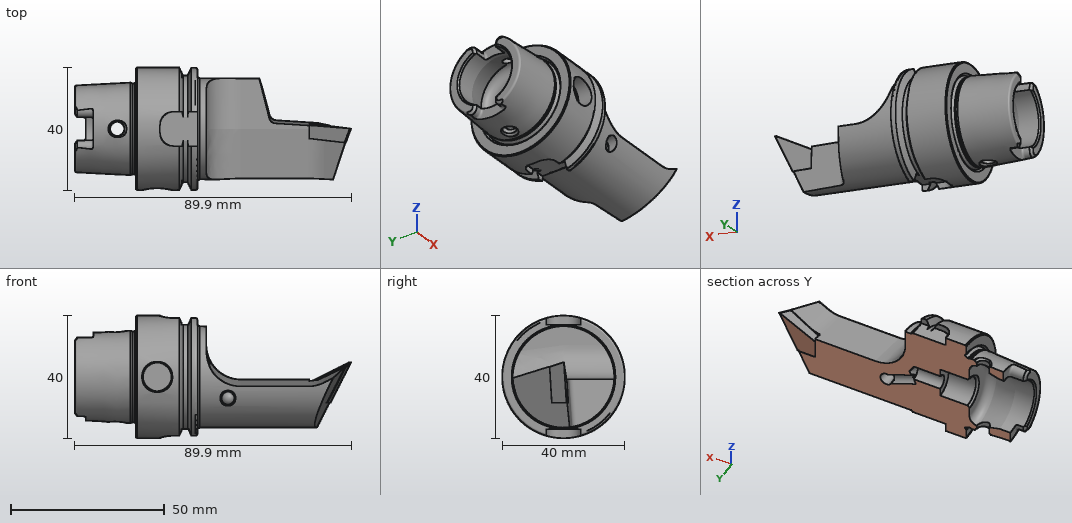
import cadquery as cq
import math


SHANK_FACE_R = 13.5
SHANK_NOSE_R = 14.2
SHANK_NOSE_LENGTH = 0.7
SHANK_LARGE_R = 15.1
SHANK_TAPER_END = 18.0
SHANK_TAPER = (SHANK_LARGE_R - SHANK_NOSE_R) / (SHANK_TAPER_END - SHANK_NOSE_LENGTH)
SHANK_NECK_R = 29.7 / 2
SHANK_NECK_START = 18.7
SHANK_NECK_END = 19.2
UNDERCUT_R = 16.2
UNDERCUT_DEPTH = 0.6

FLANGE_R = 40.0 / 2
FLANGE_START = 19.9
FLANGE_END = 39.9
FLANGE_CHAMFER = 0.4
FLANGE_ROUND = 0.8
GROOVE_R = 17.4
GROOVE_START = 33.9
GROOVE_WALL_END = 34.7
GROOVE_WALL_END_R = 18.4
GROOVE_ROUND = 1.4
GROOVE_FLOOR_START = 35.2
GROOVE_FLOOR_END = 36.7
GROOVE_END = 37.9

ARM_R = 33.0 / 2
ARM_SHOULDER = 0.45
ARM_SHOULDER_LENGTH = 0.7
ARM_ROOT = FLANGE_END + ARM_SHOULDER_LENGTH

BORE_R = 21.0 / 2
BORE_CHAMFER = 0.5
BORE_LENGTH = 7.55
CLAMP_R = 25.5 / 2
CLAMP_START = 15.7
CLAMP_FLOOR_R = 9.8
CLAMP_FLOOR = CLAMP_START + CLAMP_R - CLAMP_FLOOR_R
COOLANT_MOUTH_R = 12.5 / 2
COOLANT_THREAD_R = 11.0 / 2
COOLANT_THREAD_END = 29.7
COOLANT_BORE_R = 5.2 / 2
COOLANT_BORE_END = 39.6
DRILL_POINT_ANGLE = 118

CROSS_HOLE_X = 13.75
CROSS_HOLE_D = 4.6
CROSS_HOLE_MOUTH_D = 6.1

SLOT_HALF_WIDTH = 3.8
SLOT_FLARE_R = 2.2
SLOT_FLARE_Z = 10.7
SLOT_DEPTH_TOP = 6.0
SLOT_DEPTH_BOTTOM = 3.5
SLOT_FLOOR_ROUND = 0.7
SLOT_LEAD_DEPTH = 0.8
SLOT_LEAD_WIDTH = 1.1

KEYWAY_START = 27.7
KEYWAY_WIDTH = 11.15
KEYWAY_CORNER = 4.3
KEYWAY_FLOOR = 17.0

CHIP_HOLE_X = 26.8
CHIP_HOLE_D = 10.0
CHIP_HOLE_DEPTH = 5.6
CHIP_FLOOR_CHAMFER = 0.4

TOP_Z = -0.8
TOP_TILT = 8.0
TOP_WALL_X = 42.8
TOP_CORNER_R = 11.15
RAMP_START = 76.0
RAMP_ARC_R = 11.15
RAMP_ANGLE = 27.2

FLANK_OUTER_X = 60.0
FLANK_CORNER_X = 63.65
FLANK_CORNER_Y = 1.9
FLANK_END_Y = 0.2
FLANK_ROUND = 2.3
SIDE_DRAFT = 1.5
FLANK_DRAFT = 4.0

TIP = (89.9, 0.1, 4.8)
LAND_BLEND = 0.6
LAND_LENGTH = 0.45
END_SKEW = 0.2
END_RAKE = 0.52
ARM_END_SETBACK = 0.4
ARM_END_SKEW = 0.17
INSERT_BACK_X = 76.3
INSERT_BOTTOM = -8.45
INSERT_BACK_Y = -3.15
INSERT_FRONT_Y = -4.5
INSERT_FRONT_X = 87.9
INSERT_FLANK_SLOPE = 0.063
INSERT_FLANK_DRAFT = 0.032

OUTLET_X = 49.8
OUTLET_Z = -6.9
OUTLET_D = 5.0
OUTLET_FLOOR_Y = -12.1
BALL_D = 4.2
CHANNEL_D = 3.3
CHANNEL_START_Z = -2.9

BEYOND = 116.9


def tan(degrees):
    return math.tan(math.radians(degrees))


def remove_beyond(body, point, normal):
    """Cuts off what lies on the normal's side of a plane."""
    plane = cq.Plane(origin=point, normal=normal)
    return body.cut(cq.Workplane(plane).rect(2 * BEYOND, 2 * BEYOND).extrude(BEYOND))


def revolve_on_axis(profile):
    return profile.close().revolve(360, (0, 0, 0), (1, 0, 0))


def outer_body():
    quarter_bow = 1 - math.sqrt(0.5)
    nose_height = SHANK_NOSE_R - SHANK_FACE_R
    nose_mid = (SHANK_NOSE_LENGTH * quarter_bow, SHANK_NOSE_R - nose_height * quarter_bow)
    round_mid = FLANGE_ROUND * quarter_bow
    profile = (
        cq.Workplane("XY")
        .moveTo(0, 0)
        .lineTo(0, SHANK_FACE_R)
        .threePointArc(nose_mid, (SHANK_NOSE_LENGTH, SHANK_NOSE_R))
        .lineTo(SHANK_TAPER_END, SHANK_LARGE_R)
        .lineTo(SHANK_NECK_START, SHANK_NECK_R)
        .lineTo(SHANK_NECK_END, SHANK_NECK_R)
        .lineTo(FLANGE_START + UNDERCUT_DEPTH, (SHANK_NECK_R + UNDERCUT_R) / 2)
        .lineTo(FLANGE_START, UNDERCUT_R)
        .lineTo(FLANGE_START, FLANGE_R - FLANGE_CHAMFER)
        .lineTo(FLANGE_START + FLANGE_CHAMFER, FLANGE_R)
        .lineTo(GROOVE_START, FLANGE_R)
        .lineTo(GROOVE_WALL_END, GROOVE_WALL_END_R)
        .radiusArc((GROOVE_FLOOR_START, GROOVE_R), -GROOVE_ROUND)
        .lineTo(GROOVE_FLOOR_END, GROOVE_R)
        .lineTo(GROOVE_END, FLANGE_R)
        .lineTo(FLANGE_END - FLANGE_ROUND, FLANGE_R)
        .threePointArc((FLANGE_END - round_mid, FLANGE_R - round_mid), (FLANGE_END, FLANGE_R - FLANGE_ROUND))
        .lineTo(FLANGE_END, ARM_R + ARM_SHOULDER)
        .lineTo(ARM_ROOT, ARM_R)
        .lineTo(TIP[0], ARM_R)
        .lineTo(TIP[0], 0)
    )
    return revolve_on_axis(profile)


def shank_hollow():
    mouth_depth = COOLANT_MOUTH_R - COOLANT_THREAD_R
    point_length = COOLANT_BORE_R / tan(DRILL_POINT_ANGLE / 2)
    profile = (
        cq.Workplane("XY")
        .moveTo(0, 0)
        .lineTo(0, BORE_R + BORE_CHAMFER)
        .lineTo(BORE_CHAMFER, BORE_R)
        .lineTo(BORE_LENGTH, BORE_R)
        .lineTo(CLAMP_START, CLAMP_R)
        .radiusArc((CLAMP_FLOOR, CLAMP_FLOOR_R), CLAMP_R - CLAMP_FLOOR_R)
        .lineTo(CLAMP_FLOOR, COOLANT_MOUTH_R)
        .lineTo(CLAMP_FLOOR + mouth_depth, COOLANT_THREAD_R)
        .lineTo(COOLANT_THREAD_END, COOLANT_THREAD_R)
        .lineTo(COOLANT_THREAD_END, COOLANT_BORE_R)
        .lineTo(COOLANT_BORE_END, COOLANT_BORE_R)
        .lineTo(COOLANT_BORE_END + point_length, 0)
    )
    return revolve_on_axis(profile)


def cross_hole():
    hole = cq.Workplane("XY").center(CROSS_HOLE_X, 0).circle(CROSS_HOLE_D / 2).extrude(FLANGE_R, both=True)
    surface_r = SHANK_LARGE_R - SHANK_TAPER * (SHANK_TAPER_END - CROSS_HOLE_X)
    sink = (CROSS_HOLE_MOUTH_D - CROSS_HOLE_D) / 2
    mouth = (
        cq.Workplane("XZ")
        .moveTo(0, surface_r - sink)
        .lineTo(CROSS_HOLE_D / 2, surface_r - sink)
        .lineTo(CROSS_HOLE_MOUTH_D / 2, surface_r)
        .lineTo(CROSS_HOLE_MOUTH_D / 2, SHANK_LARGE_R)
        .lineTo(0, SHANK_LARGE_R)
        .close()
        .revolve(360, (0, 0, 0), (0, 1, 0))
        .translate((CROSS_HOLE_X, 0, 0))
    )
    return hole.union(mouth).union(mouth.mirror("XY"))


def slot_section(x):
    """Slot outline across the axis: straight walls that flare outward near the shank surface."""
    flare_y = SLOT_HALF_WIDTH + SLOT_FLARE_R
    flare_top = SLOT_FLARE_Z + SLOT_FLARE_R
    mid = SLOT_FLARE_R * (1 - math.sqrt(0.5))
    mid_z = SLOT_FLARE_Z + SLOT_FLARE_R * math.sqrt(0.5)
    return (
        cq.Workplane("YZ", origin=(x, 0, 0))
        .moveTo(SLOT_HALF_WIDTH, 0)
        .lineTo(SLOT_HALF_WIDTH, SLOT_FLARE_Z)
        .threePointArc((SLOT_HALF_WIDTH + mid, mid_z), (flare_y, flare_top))
        .lineTo(FLANGE_R, flare_top)
        .lineTo(FLANGE_R, FLANGE_R)
        .lineTo(-FLANGE_R, FLANGE_R)
        .lineTo(-FLANGE_R, flare_top)
        .lineTo(-flare_y, flare_top)
        .threePointArc((-SLOT_HALF_WIDTH - mid, mid_z), (-SLOT_HALF_WIDTH, SLOT_FLARE_Z))
        .lineTo(-SLOT_HALF_WIDTH, 0)
        .close()
    )


def driving_slot(depth):
    slot = slot_section(0).extrude(depth).faces(">X").edges().fillet(SLOT_FLOOR_ROUND)
    lead_angle = math.degrees(math.atan(SLOT_LEAD_WIDTH / SLOT_LEAD_DEPTH))
    lead_in = slot_section(SLOT_LEAD_DEPTH).extrude(-SLOT_LEAD_DEPTH, taper=-lead_angle)
    return slot.union(lead_in)


def keyway():
    """Flat-floored slot, round at the shank end and open toward the arm."""
    length = ARM_ROOT - KEYWAY_START
    return (
        cq.Workplane("XY", origin=(KEYWAY_START + length / 2, 0, KEYWAY_FLOOR))
        .rect(length, KEYWAY_WIDTH)
        .extrude(FLANGE_R)
        .edges("|Z and <X")
        .fillet(KEYWAY_CORNER)
    )


def chip_hole():
    floor_y = -FLANGE_R + CHIP_HOLE_DEPTH
    return (
        cq.Workplane("XZ", origin=(CHIP_HOLE_X, floor_y, 0))
        .circle(CHIP_HOLE_D / 2)
        .extrude(FLANGE_R)
        .faces(">Y")
        .chamfer(CHIP_FLOOR_CHAMFER)
    )


def top_cut_side():
    """Space above the arm: a vertical wall, a round corner, a flat and a ramp up to the tip."""
    wall_z = TOP_Z + TOP_CORNER_R
    ramp_x = RAMP_START + RAMP_ARC_R * math.sin(math.radians(RAMP_ANGLE))
    ramp_z = TOP_Z + RAMP_ARC_R * (1 - math.cos(math.radians(RAMP_ANGLE)))
    return (
        cq.Workplane("XZ")
        .moveTo(TOP_WALL_X, BEYOND)
        .lineTo(TOP_WALL_X, wall_z)
        .radiusArc((TOP_WALL_X + TOP_CORNER_R, TOP_Z), -TOP_CORNER_R)
        .lineTo(RAMP_START, TOP_Z)
        .radiusArc((ramp_x, ramp_z), -RAMP_ARC_R)
        .lineTo(BEYOND, ramp_z + (BEYOND - ramp_x) * tan(RAMP_ANGLE))
        .lineTo(BEYOND, BEYOND)
        .close()
    )


def top_cut():
    """The front half of the cut slopes down away from the axis; the back half is level."""
    side = top_cut_side().wires().val()
    front_run = cq.Vector(0, -BEYOND, -BEYOND * tan(TOP_TILT))
    back_run = cq.Vector(0, BEYOND, 0)
    return [cq.Workplane(cq.Solid.extrudeLinear(side, [], run)) for run in (front_run, back_run)]


def flank_cut():
    """Space behind the arm, between a side wall and the back flank that meet in a round."""
    corner = (FLANK_CORNER_X, FLANK_CORNER_Y, TOP_Z)
    side_slope = (FLANK_CORNER_X - FLANK_OUTER_X) / (ARM_R - FLANK_CORNER_Y)
    back_slope = (FLANK_CORNER_Y - FLANK_END_Y) / (TIP[0] - FLANK_CORNER_X)
    block = cq.Workplane("XY").box(TIP[0] - TOP_WALL_X, 2 * ARM_R, 2 * ARM_R, centered=(False, True, True))
    block = block.translate((TOP_WALL_X, 0, TOP_Z))
    block = remove_beyond(block, corner, (-1, -side_slope, -tan(SIDE_DRAFT)))
    block = remove_beyond(block, corner, (-back_slope, -1, -tan(FLANK_DRAFT)))
    corner_edge = cq.selectors.NearestToPointSelector((FLANK_CORNER_X, FLANK_CORNER_Y, TOP_Z))
    return block.edges(corner_edge).fillet(FLANK_ROUND)


def insert_seat():
    """Space for the insert, open upward, toward the tip and at the back flank."""
    seat_slope = (INSERT_FRONT_Y - INSERT_BACK_Y) / (INSERT_FRONT_X - INSERT_BACK_X)
    end_x = TIP[0] + ARM_R
    end_y = INSERT_BACK_Y + seat_slope * (end_x - INSERT_BACK_X)
    return (
        cq.Workplane("XY", origin=(0, 0, INSERT_BOTTOM))
        .polyline([(INSERT_BACK_X, INSERT_BACK_Y), (end_x, end_y), (end_x, ARM_R), (INSERT_BACK_X, ARM_R)])
        .close()
        .extrude(2 * ARM_R)
    )


def make_insert():
    """The seat's shape, bounded by a flank, a raked end and a narrow land that meet at the tip.

    The land is parallel to the cutting edge and lies between the ramp and the end in slope.
    """
    ramp_normal = cq.Vector(-tan(RAMP_ANGLE), -tan(TOP_TILT), 1)
    end_normal = cq.Vector(1, -END_SKEW, -END_RAKE)
    land_normal = ramp_normal + end_normal * LAND_BLEND
    land_rise = LAND_LENGTH * land_normal.x / land_normal.z
    land_back = cq.Vector(*TIP) + cq.Vector(-LAND_LENGTH, 0, land_rise)
    block = remove_beyond(insert_seat(), TIP, (INSERT_FLANK_SLOPE, 1, INSERT_FLANK_DRAFT))
    block = remove_beyond(block, land_back, ramp_normal)
    block = remove_beyond(block, TIP, land_normal)
    return remove_beyond(block, TIP, end_normal)


def coolant_outlet():
    counterbore = (
        cq.Workplane("XZ", origin=(OUTLET_X, OUTLET_FLOOR_Y, OUTLET_Z)).circle(OUTLET_D / 2).extrude(ARM_R)
    )
    bore = (
        cq.Workplane("XZ", origin=(OUTLET_X, BALL_D / 2, OUTLET_Z))
        .circle(BALL_D / 2)
        .extrude(BALL_D / 2 - OUTLET_FLOOR_Y)
    )
    run = cq.Vector(OUTLET_X - COOLANT_BORE_END, 0, OUTLET_Z - CHANNEL_START_Z)
    start = cq.Vector(COOLANT_BORE_END, 0, CHANNEL_START_Z)
    channel = cq.Workplane(cq.Solid.makeCylinder(CHANNEL_D / 2, run.Length, start, run))
    return counterbore.union(bore).union(channel)


def make_ball():
    center = (OUTLET_X, OUTLET_FLOOR_Y + BALL_D / 2, OUTLET_Z)
    return cq.Workplane("XY").sphere(BALL_D / 2).translate(center)


def make_holder():
    body = outer_body().cut(shank_hollow()).cut(cross_hole())
    body = body.cut(driving_slot(SLOT_DEPTH_TOP))
    body = body.cut(driving_slot(SLOT_DEPTH_BOTTOM).mirror("XY"))
    body = body.cut(keyway()).cut(keyway().mirror("XY")).cut(chip_hole())
    for cutter in top_cut():
        body = body.cut(cutter)
    body = body.cut(flank_cut()).cut(insert_seat())
    arm_end = (TIP[0] - ARM_END_SETBACK, TIP[1], TIP[2])
    body = remove_beyond(body, arm_end, (1, -ARM_END_SKEW, -END_RAKE))
    return body.cut(coolant_outlet())


holder = make_holder()
insert = make_insert()
ball = make_ball()
result = cq.Compound.makeCompound([holder.solids().val(), insert.solids().val(), ball.solids().val()])